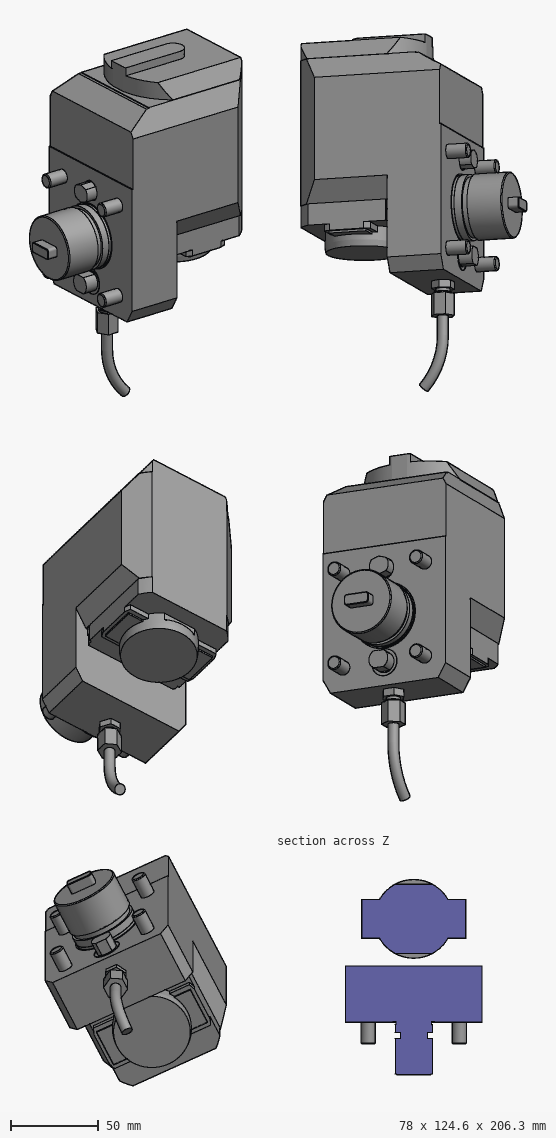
import cadquery as cq
import math


half_width = 39.0
slope_tan = math.tan(math.radians(30))

rear_y = 88.3
flange_rear_y = 32.2
cover_rear_y = 17.5
flange_bottom_z = -41.9
flange_chamfer_height = 8.3
pad_height = 0.72
pad_top_z = 42.0
shoulder_z = 73.5
body_top_z = 86.0
cover_top_drop = 0.5
cover_slope_start_y = 15.7
rear_chamfer = 12.4

head_bottom_z = -10.7
head_waist_z = 1.7
head_slope_top_z = 14.0
relief_rear_y = 35.5
relief_gap = 0.6
relief_step = 0.6
relief_split_z = -4.0

spindle_y = 59.0
plate_top_z = 96.3
turret_radius = 39.5
plate_ledge = 0.5
key_top_z = 101.3
key_half_width = 6.5
key_flat_width = 9.3

nose_flats = 39.6
nose_diameter = 45.0
nose_flats_end_z = -15.7
nose_taper_z = -19.0
nose_bottom_z = -22.5
nose_end_diameter = 43.7
lug_radius = 33.5
lug_width = 27.6
lug_bottom_z = -14.5
lug_step_width = 22.3
lug_step_inset = 2.0

shaft_diameter = 38.0
shaft_groove_diameter = 35.0
shaft_root_diameter = 37.5
shaft_root_length = 1.2
shaft_seat_diameter = 39.2
shaft_groove_start = 5.8
shaft_groove_end = 9.0
shaft_length = 30.0
shaft_chamfer = 0.6
tang_tip_y = -36.3
tang_width = 15.3
tang_thickness = 6.4
tang_corner_radius = 1.7
tang_chamfer = 0.5

fixing_x = 26.0
fixing_z = 28.0
screw_diameter = 8.3
screw_length = 12.4
screw_chamfer = 0.6
pin_diameter = 12.0
upper_pin_length = 7.0
upper_pin_ridge = 5.4
upper_pin_edge_x = 4.5
lower_pin_length = 7.6
lower_pin_flats = 10.1
lower_pin_seat_diameter = 15.9
seat_depth = 0.5
pin_hole_depth = 0.8
root_depth = 2.0

gland_y = 11.8
gland_hex_flats = 11.5
gland_hex_length = 4.3
gland_neck_diameter = 8.3
gland_neck_length = 1.9
gland_collar_diameter = 10.0
gland_collar_length = 1.0
gland_nut_flats = 12.0
gland_nut_length = 12.8
cable_diameter = 6.4
cable_bend_radius = 41.3
cable_bend_angle = math.radians(45)
cable_sideways_angle = 7
total_height = 206.3

clearance = 2.0

body_top_half = half_width - (body_top_z - shoulder_z) * slope_tan
waist_half = half_width - (head_slope_top_z - head_waist_z) * slope_tan
flange_bottom_half = half_width - flange_chamfer_height * slope_tan
plate_bottom_half = body_top_half - plate_ledge
plate_top_half = plate_bottom_half - (plate_top_z - body_top_z) * slope_tan
cover_top_z = body_top_z - cover_top_drop


def mirrored_prism(right_points, front_y, back_y):
    """Extrude along Y an outline given by its +X side and mirrored about X = 0."""
    left_points = [(-x, z) for x, z in reversed(right_points)]
    outline = cq.Workplane("XZ", origin=(0, front_y, 0)).polyline(right_points + left_points)
    return outline.close().extrude(front_y - back_y)


def box_between(x_range, y_range, z_range):
    """Box from its limits along each axis."""
    lows, highs = zip(x_range, y_range, z_range)
    sizes = [high - low for low, high in zip(lows, highs)]
    return cq.Workplane("XY").box(*sizes, centered=False).translate(lows)


def cylinder_down(diameter, top_z, length, y):
    """Vertical cylinder hanging from top_z."""
    return cq.Workplane("XY", origin=(0, y, top_z)).circle(diameter / 2).extrude(-length)


def hexagon_down(flats, top_z, length, y, turn):
    """Vertical hexagon hanging from top_z; turn 0 puts two corners on the X direction."""
    corner_diameter = flats / math.cos(math.pi / 6)
    prism = cq.Workplane("XY").polygon(6, corner_diameter).extrude(-length)
    return prism.rotate((0, 0, 0), (0, 0, 1), turn).translate((0, y, top_z))


def make_flange():
    """Front plate that carries the mounting face, with a cover sloping back at the top."""
    upper_sides = [(half_width, shoulder_z), (body_top_half, body_top_z)]
    lower_sides = [(flange_bottom_half, flange_bottom_z),
                   (half_width, flange_bottom_z + flange_chamfer_height)]
    flange = mirrored_prism(lower_sides + upper_sides, 0, flange_rear_y)
    slope_bottom_z = cover_top_z - (cover_slope_start_y - pad_height) * slope_tan
    above = body_top_z + clearance
    removed = (
        cq.Workplane("YZ")
        .polyline([(-clearance, pad_top_z), (pad_height, pad_top_z), (pad_height, slope_bottom_z),
                   (cover_slope_start_y, cover_top_z), (cover_rear_y, cover_top_z),
                   (cover_rear_y, above), (-clearance, above)])
        .close()
        .extrude(half_width + clearance, both=True)
    )
    return flange.cut(removed)


def make_head():
    """Rear gear head: sloped shoulders above and below, vertical waist at the bottom."""
    sides = [(waist_half, head_bottom_z), (waist_half, head_waist_z), (half_width, head_slope_top_z),
             (half_width, shoulder_z), (body_top_half, body_top_z)]
    head = mirrored_prism(sides, cover_rear_y, rear_y)
    below_overhang = box_between((-half_width, half_width), (cover_rear_y, flange_rear_y),
                                 (head_bottom_z, head_slope_top_z))
    head = head.cut(below_overhang)
    reliefs = [
        (relief_step, relief_rear_y, (relief_split_z, head_waist_z)),
        (2 * relief_step, relief_rear_y, (head_bottom_z, relief_split_z)),
        (3 * relief_step, flange_rear_y + relief_gap, (head_bottom_z, head_waist_z)),
    ]
    for depth, end_y, z_range in reliefs:
        for side in (-1, 1):
            x_range = sorted((side * (waist_half - depth), side * waist_half))
            head = head.cut(box_between(x_range, (flange_rear_y, end_y), z_range))

    waist_height = head_waist_z - head_bottom_z
    rear_waist = box_between((-half_width, half_width), (spindle_y, rear_y), (head_bottom_z, head_waist_z))
    turret = cylinder_down(2 * turret_radius, head_waist_z, waist_height, spindle_y)
    return head.cut(rear_waist.cut(turret))


def make_top_plate():
    """Round plate with sloped sides and a flat rear, flattened where the key reaches its front."""
    sides = [(plate_bottom_half, body_top_z), (plate_top_half, plate_top_z)]
    plate = mirrored_prism(sides, 0, rear_y)
    key = (
        cq.Workplane("XY", origin=(0, spindle_y, body_top_z))
        .circle(key_half_width)
        .extrude(key_top_z - body_top_z)
        .union(box_between((-key_half_width, key_half_width), (0, spindle_y), (body_top_z, key_top_z)))
    )
    flat_distance = math.sqrt(turret_radius**2 - (key_flat_width / 2)**2)
    turret = cylinder_down(2 * turret_radius, key_top_z, key_top_z - body_top_z, spindle_y)
    behind_flat = box_between((-half_width, half_width), (spindle_y - flat_distance, rear_y),
                              (body_top_z, key_top_z))
    return plate.union(key).intersect(turret).intersect(behind_flat)


def cut_rear_corners(body):
    """Bevel the two vertical rear corners at 45 degrees over the full height."""
    for side in (-1, 1):
        corner = (
            cq.Workplane("XY", origin=(0, 0, head_bottom_z))
            .polyline([(side * half_width, rear_y - rear_chamfer), (side * half_width, rear_y),
                       (side * (half_width - rear_chamfer), rear_y)])
            .close()
            .extrude(key_top_z - head_bottom_z)
        )
        body = body.cut(corner)
    return body


def make_spindle_nose():
    """Round nose with wrench flats, a tapered lower end and a pair of driving lugs."""
    profile = [(0, head_bottom_z), (nose_diameter / 2, head_bottom_z), (nose_diameter / 2, nose_taper_z),
               (nose_end_diameter / 2, nose_bottom_z), (0, nose_bottom_z)]
    nose = cq.Workplane("XZ").polyline(profile).close().revolve(360, (0, 0, 0), (0, 1, 0))
    for side in (-1, 1):
        y_range = sorted((side * nose_flats / 2, side * nose_diameter / 2))
        x_range = (-nose_diameter, nose_diameter)
        nose = nose.cut(box_between(x_range, y_range, (nose_flats_end_z, head_bottom_z)))
    nose = nose.translate((0, spindle_y, 0))
    lugs = cylinder_down(2 * lug_radius, head_bottom_z, head_bottom_z - lug_bottom_z, spindle_y)
    lug_y = (spindle_y - lug_width / 2, spindle_y + lug_width / 2)
    lugs = lugs.intersect(box_between((-waist_half, waist_half), lug_y, (lug_bottom_z, head_bottom_z)))
    step_half = waist_half - lug_step_inset
    step_y = (spindle_y - lug_step_width / 2, spindle_y + lug_step_width / 2)
    lug_step = box_between((-step_half, step_half), step_y, (nose_flats_end_z, lug_bottom_z))
    return nose.union(lugs).union(lug_step)


def make_drive_shaft():
    """Grooved shaft along -Y that ends in a flat driving tang."""
    radius = shaft_diameter / 2
    root_radius = shaft_root_diameter / 2
    groove_radius = shaft_groove_diameter / 2
    profile = [(0, root_depth), (root_radius, root_depth), (root_radius, -shaft_root_length),
               (radius, -shaft_root_length), (radius, -shaft_groove_start),
               (groove_radius, -shaft_groove_start), (groove_radius, -shaft_groove_end),
               (radius, -shaft_groove_end), (radius, shaft_chamfer - shaft_length),
               (radius - shaft_chamfer, -shaft_length), (0, -shaft_length)]
    shaft = cq.Workplane("XY").polyline(profile).close().revolve(360, (0, 0, 0), (0, 1, 0))
    tang = (
        cq.Workplane("XZ", origin=(0, -shaft_length, 0))
        .rect(tang_width, tang_thickness)
        .extrude(-shaft_length - tang_tip_y)
        .edges("|Y")
        .fillet(tang_corner_radius)
        .faces("<Y")
        .chamfer(tang_chamfer)
    )
    return shaft.union(tang)


def stud(diameter, length, x, z):
    """Round stud standing out of the mounting face and rooted slightly inside it."""
    return cq.Workplane("XZ", origin=(x, root_depth, z)).circle(diameter / 2).extrude(length + root_depth)


def cut_seat(body, diameter, depth, z):
    """Shallow round recess in the mounting face."""
    seat = cq.Workplane("XZ", origin=(0, 0, z)).circle(diameter / 2).extrude(-depth)
    return body.cut(seat)


def add_fixings(body):
    """Four corner screws, a ridged upper pin and a flatted lower pin."""
    for x in (-fixing_x, fixing_x):
        for z in (-fixing_z, fixing_z):
            screw = stud(screw_diameter, screw_length, x, z)
            body = body.union(screw.faces("<Y").chamfer(screw_chamfer))

    pin_radius = pin_diameter / 2
    edge_z = math.sqrt(pin_radius**2 - upper_pin_edge_x**2)
    side_z = upper_pin_ridge - (upper_pin_ridge - edge_z) * pin_radius / upper_pin_edge_x
    facets = (
        cq.Workplane("XZ", origin=(0, root_depth, fixing_z))
        .polyline([(0, -upper_pin_ridge), (pin_radius, -side_z), (pin_radius, side_z),
                   (0, upper_pin_ridge), (-pin_radius, side_z), (-pin_radius, -side_z)])
        .close()
        .extrude(upper_pin_length + root_depth)
    )
    body = body.union(stud(pin_diameter, upper_pin_length, 0, fixing_z).intersect(facets))

    lower_pin = stud(pin_diameter, lower_pin_length, 0, -fixing_z)
    flats = box_between((-pin_diameter, pin_diameter), (-lower_pin_length, root_depth),
                        (-fixing_z - lower_pin_flats / 2, -fixing_z + lower_pin_flats / 2))
    return body.union(lower_pin.intersect(flats))


def make_cable_gland():
    """Hexagon fitting, stepped neck and union nut below the flange, with a bent cable."""
    neck_z = flange_bottom_z - gland_hex_length
    collar_z = neck_z - gland_neck_length
    nut_z = collar_z - gland_collar_length
    cable_z = nut_z - gland_nut_length
    fitting = hexagon_down(gland_hex_flats, flange_bottom_z, gland_hex_length, gland_y, 0)
    neck = cylinder_down(gland_neck_diameter, neck_z, gland_neck_length, gland_y)
    collar = cylinder_down(gland_collar_diameter, collar_z, gland_collar_length, gland_y)
    nut = hexagon_down(gland_nut_flats, nut_z, gland_nut_length, gland_y, 30)

    end_drop = cable_diameter / 2 * math.sin(cable_bend_angle)
    end_z = key_top_z - total_height + end_drop
    bend_z = end_z + cable_bend_radius * math.sin(cable_bend_angle)

    def bend_point(angle):
        """Point on the bent centre line, which curves towards +Y."""
        return (cable_bend_radius * (1 - math.cos(angle)), bend_z - cable_bend_radius * math.sin(angle))

    path = (
        cq.Workplane("YZ")
        .moveTo(0, cable_z)
        .lineTo(*bend_point(0))
        .threePointArc(bend_point(cable_bend_angle / 2), bend_point(cable_bend_angle))
    )
    cable = cq.Workplane("XY", origin=(0, 0, cable_z)).circle(cable_diameter / 2).sweep(path)
    cable = cable.rotate((0, 0, 0), (0, 0, 1), -cable_sideways_angle).translate((0, gland_y, 0))
    return fitting.union(neck).union(collar).union(nut).union(cable)


housing = cut_rear_corners(make_flange().union(make_head()).union(make_top_plate()))
seats = [
    (shaft_seat_diameter, seat_depth, 0),
    (pin_diameter, pin_hole_depth, fixing_z),
    (pin_diameter, pin_hole_depth, -fixing_z),
    (lower_pin_seat_diameter, seat_depth, -fixing_z),
]
for seat_diameter, depth, seat_z in seats:
    housing = cut_seat(housing, seat_diameter, depth, seat_z)
housing = housing.union(make_spindle_nose()).union(make_drive_shaft())
result = add_fixings(housing).union(make_cable_gland())